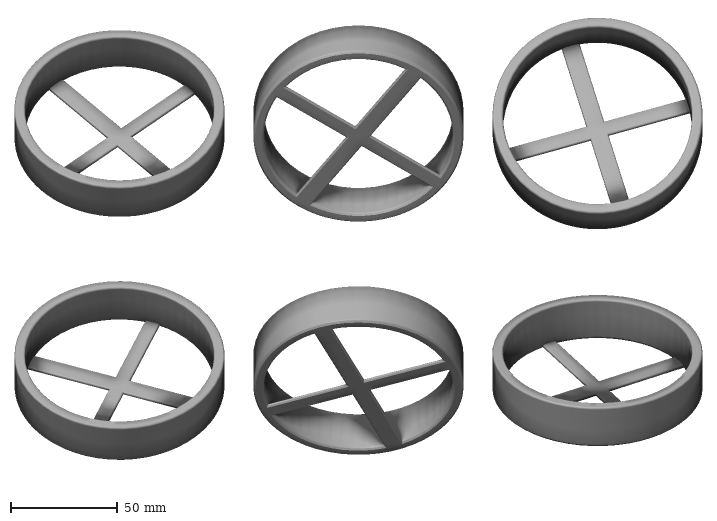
import cadquery as cq

outer_diameter = 99.0
inner_diameter = 89.0
height = 22.0
edge_radius = 1.0
bottom_chamfer = 1.0

arm_x_width = 8.7
arm_y_width = 7.1
arm_thickness = 2.0
arm_edge_radius = 0.8
arm_bottom_chamfer = 0.6
arm_length = (outer_diameter + inner_diameter) / 2


def make_ring():
    """Ring with rounded top edges; bottom edges are chamfered and blended into the walls."""
    ring = cq.Workplane("XY").circle(outer_diameter / 2).circle(inner_diameter / 2).extrude(height)
    ring = ring.faces("<Z").edges().chamfer(bottom_chamfer)
    return ring.faces("%CYLINDER").edges("%CIRCLE").fillet(edge_radius)


def make_cross():
    """Two crossing bars with rounded upper edges and chamfered lower edges."""
    centered = (True, True, False)
    arm_x = cq.Workplane("XY").box(arm_length, arm_x_width, arm_thickness, centered=centered)
    arm_y = cq.Workplane("XY").box(arm_y_width, arm_length, arm_thickness, centered=centered)
    cross = arm_x.union(arm_y)
    cross = cross.faces("<Z").edges().chamfer(arm_bottom_chamfer)
    return cross.faces(">Z").edges().fillet(arm_edge_radius)


result = make_ring().union(make_cross())